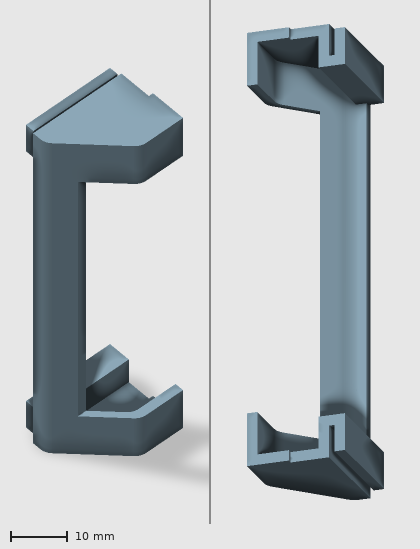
import cadquery as cq

width = 18.0
depth = 22.0
height = 82.0

wall = 2.0
lip = 1.0
end_height = 10.0
step_x = 10.2
bend_radius = 3.0
slant_start_x = 6.1
slant_end_y = width - slant_start_x

clip_thickness = wall
clip_height = 7.0
foot_height = wall
body_x = clip_thickness + lip
web_thickness = 2.0


def bent_prism(front_y, side_x, back_y, bottom, top):
    """Prism with a 45 degree face joining its front and +X faces by round bends."""
    prism = (
        cq.Workplane("XY", origin=(0, 0, bottom))
        .moveTo(body_x, front_y)
        .lineTo(slant_start_x, front_y)
        .lineTo(side_x, slant_end_y)
        .lineTo(side_x, back_y)
        .lineTo(body_x, back_y)
        .close()
        .extrude(top - bottom)
    )
    bends = cq.selectors.BoxSelector(
        (slant_start_x - lip, front_y - lip, bottom),
        (side_x + lip, slant_end_y + lip, top),
    )
    return prism.edges("|Z").edges(bends).fillet(bend_radius)


def block(x_range, y_range, z_range):
    """Box spanning the given ranges."""
    lows, highs = zip(x_range, y_range, z_range)
    size = [high - low for low, high in zip(lows, highs)]
    return cq.Workplane("XY").box(*size, centered=False).translate(lows)


def make_bracket():
    """Bent wall with end plates, open towards -X and +Y."""
    outer = bent_prism(0, width, depth, 0, height)
    cavity = bent_prism(wall, width - wall, depth + lip, wall, height - wall)
    opening = block((step_x, width), (0, depth), (end_height, height - end_height))
    back_step = block((body_x, step_x), (depth - lip, depth), (0, height))
    return outer.cut(cavity).cut(opening).cut(back_step)


def make_lower_clip():
    """Upright leg joined by a foot to a web that stands on the bracket's end plate."""
    clip_top = lip + clip_height
    clip_y = (lip, depth - lip)
    leg = block((0, clip_thickness), clip_y, (lip, clip_top))
    foot = block((clip_thickness, body_x), clip_y, (clip_top - foot_height, clip_top))
    web = block((body_x, body_x + web_thickness), (lip, depth - lip), (lip, clip_top))
    return leg.union(foot).union(web)


lower_clip = make_lower_clip()
upper_clip = lower_clip.mirror("XY", (0, 0, height / 2))
result = make_bracket().union(lower_clip).union(upper_clip)